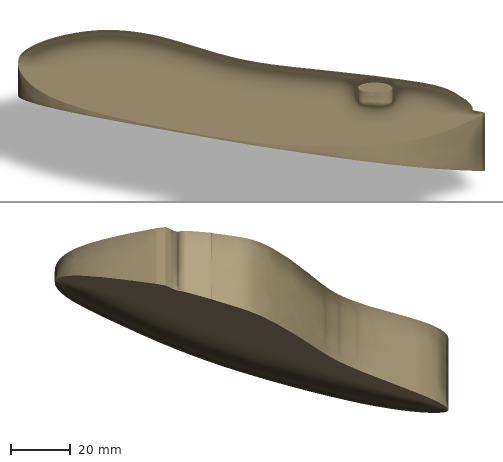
import cadquery as cq
import math

LENGTH = 169.1
WIDTH = 88.41
PLATE_HEIGHT = 26.0
PEG_HEIGHT = 5.0

UNDERSIDE_ANGLE = 16.0
CUTTER_MARGIN = 10.0

NOTCH_TOP = (161.5, 72.8)
NOTCH_SIDE = (162.0, 71.6)
NOTCH_ROOT = (161.9, 69.9)
NOTCH_FLOOR = (164.0, 69.4)
CORNER = (168.5, 69.2)
RIGHT_EXTREME = (LENGTH, 66.0)

LEFT_EXTREME = (0.0, 57.0)
BACK_EDGE = [
    (4.1, 75.3),
    (12.2, 85.0),
    (25.0, WIDTH),
    (36.7, 87.0),
    (53.0, 82.5),
    (73.3, 79.4),
    (93.7, 82.1),
    (114.1, 85.8),
    (132.4, 87.5),
    (146.7, 84.4),
    (154.8, 78.9),
]

FRONT_EDGE = [
    (168.1, 47.5),
    (163.0, 29.6),
    (150.8, 15.4),
    (134.5, 6.2),
    (118.2, 1.2),
    (100.0, 0.0),
    (73.3, 1.2),
    (53.0, 4.2),
    (32.6, 11.8),
    (16.3, 24.4),
    (4.4, 40.2),
    (1.3, 47.6),
]

DOWNWARD = (0, -1)
BACK_RIGHT_SLOPE = (1, -1)

PEG_OUTLINE = [
    (124.9, 61.0),
    (127.4, 65.6),
    (130.7, 66.6),
    (134.0, 65.4),
    (136.7, 61.5),
    (135.6, 58.0),
    (132.0, 56.1),
    (129.2, 55.5),
    (126.6, 57.0),
]


def kidney_block():
    """Full-height block with the kidney outline, top face at Z = 0."""
    kidney_points = FRONT_EDGE + [LEFT_EXTREME] + BACK_EDGE + [NOTCH_TOP]
    return (
        cq.Workplane("XY")
        .moveTo(*NOTCH_TOP)
        .threePointArc(NOTCH_SIDE, NOTCH_ROOT)
        .lineTo(*NOTCH_FLOOR)
        .lineTo(*CORNER)
        .lineTo(*RIGHT_EXTREME)
        .spline(kidney_points, tangents=[DOWNWARD, BACK_RIGHT_SLOPE], includeCurrent=True)
        .close()
        .extrude(-PLATE_HEIGHT)
    )


def underside_cutter():
    """Wedge below the sloping underside, across the whole length."""
    slope = math.tan(math.radians(UNDERSIDE_ANGLE))
    front_y = -CUTTER_MARGIN
    back_y = WIDTH + CUTTER_MARGIN
    front_z = -PLATE_HEIGHT + (WIDTH - front_y) * slope
    back_z = -PLATE_HEIGHT + (WIDTH - back_y) * slope
    return (
        cq.Workplane("YZ", origin=(-CUTTER_MARGIN, 0, 0))
        .moveTo(front_y, front_z)
        .lineTo(back_y, back_z)
        .lineTo(front_y, back_z)
        .close()
        .extrude(LENGTH + 2 * CUTTER_MARGIN)
    )


def peg():
    """Short peg standing on the top face."""
    return cq.Workplane("XY").spline(PEG_OUTLINE, periodic=True).close().extrude(PEG_HEIGHT)


result = kidney_block().cut(underside_cutter()).union(peg())